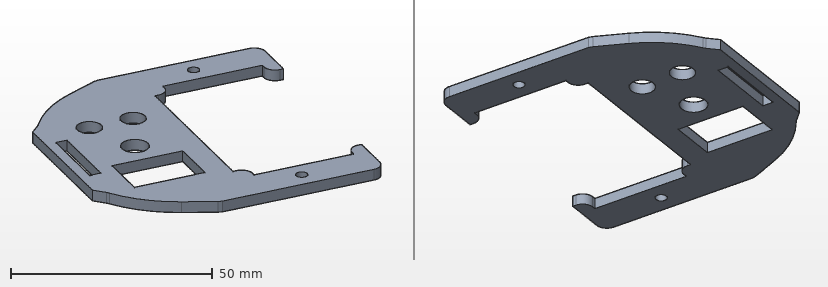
import cadquery as cq

width = 73.5
depth = 71.2
thickness = 3.0
half_width = width / 2
corner_radius = 3.0

side_end_y = 26.7
taper_start = (36.45, 25.6)
curve_start = (32.8, 17.3)
curve_middle = (27.8, 9.25)
curve_end = (20.9, 3.1)
chamfer_start = (20.3, 2.65)
front_half_width = 17.65

notch_half_width = 26.9
notch_floor_y = 36.0
lug_size = 4.0
lug_radius = 3.0

mount_x = 31.8
mount_y = 50.7
mount_diameter = 3.0

center_hole_y = 19.85
center_hole_diameter = 7.1
pair_x = -14.0
pair_y = center_hole_y
pair_spacing = 12.0
pair_diameter = 6.55

window_center = (14.05, 19.8)
window_width = 13.1
window_height = 19.3
slot_center = (0, 4.3)
slot_width = 20.0
slot_height = 3.0


def mirrored(point):
    """Reflect a point across the plate's centre line."""
    x, y = point
    return (-x, y)


def make_plate():
    outline = (
        cq.Workplane("XY")
        .moveTo(half_width, depth)
        .lineTo(half_width, side_end_y)
        .lineTo(*taper_start)
        .lineTo(*curve_start)
        .threePointArc(curve_middle, curve_end)
        .lineTo(*chamfer_start)
        .lineTo(front_half_width, 0)
        .lineTo(-front_half_width, 0)
        .lineTo(*mirrored(chamfer_start))
        .lineTo(*mirrored(curve_end))
        .threePointArc(mirrored(curve_middle), mirrored(curve_start))
        .lineTo(*mirrored(taper_start))
        .lineTo(-half_width, side_end_y)
        .lineTo(-half_width, depth)
        .close()
    )
    plate = outline.extrude(thickness)
    return plate.edges("|Z and >Y").fillet(corner_radius)


def make_lug(x_side, y_side):
    """Square block in one notch corner, rounded on the corner facing the opening."""
    center_x = x_side * (notch_half_width - lug_size / 2)
    if y_side > 0:
        center_y = depth - lug_size / 2
    else:
        center_y = notch_floor_y + lug_size / 2
    inner_x = "<X" if x_side > 0 else ">X"
    inner_y = "<Y" if y_side > 0 else ">Y"
    block = (
        cq.Workplane("XY")
        .center(center_x, center_y)
        .rect(lug_size, lug_size)
        .extrude(thickness)
    )
    return block.faces(inner_x).edges("|Z").edges(inner_y).fillet(lug_radius)


def make_notch():
    notch_depth = depth - notch_floor_y
    notch = (
        cq.Workplane("XY")
        .center(0, notch_floor_y + notch_depth / 2)
        .rect(2 * notch_half_width, notch_depth)
        .extrude(thickness)
    )
    for x_side in (-1, 1):
        for y_side in (-1, 1):
            notch = notch.cut(make_lug(x_side, y_side))
    return notch


def round_cutter(points, diameter):
    return cq.Workplane("XY").pushPoints(points).circle(diameter / 2).extrude(thickness)


def rectangular_cutter(center, size_x, size_y):
    return cq.Workplane("XY").center(*center).rect(size_x, size_y).extrude(thickness)


mount_points = [(-mount_x, mount_y), (mount_x, mount_y)]
pair_points = [(pair_x, pair_y + side * pair_spacing / 2) for side in (-1, 1)]

cutters = [
    make_notch(),
    round_cutter(mount_points, mount_diameter),
    round_cutter([(0, center_hole_y)], center_hole_diameter),
    round_cutter(pair_points, pair_diameter),
    rectangular_cutter(window_center, window_width, window_height),
    rectangular_cutter(slot_center, slot_width, slot_height),
]

result = make_plate()
for cutter in cutters:
    result = result.cut(cutter)